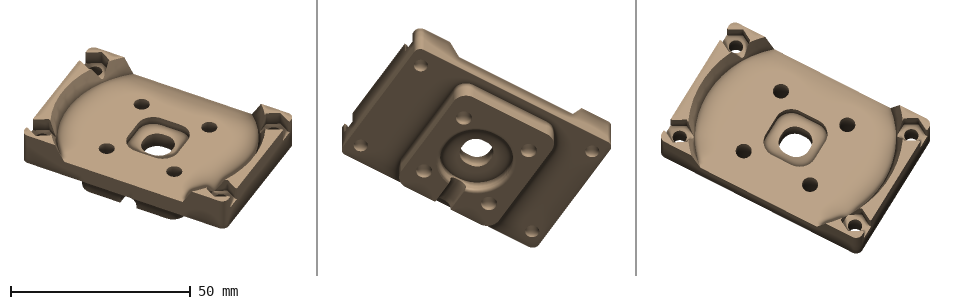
import cadquery as cq

plate_length = 64.0
plate_width = 42.0
plate_corner_radius = 2.0
boss_height = 5.95
plate_thickness = 10.05
top_z = boss_height + plate_thickness

boss_length = 32.0
boss_width = 36.0
boss_corner_radius = 4.0

recess_depth = 5.0
recess_floor_radius = 28.0
recess_rim_radius = 30.0
floor_z = top_z - recess_depth

pocket_size = 15.6
pocket_corner_radius = 4.8
pocket_depth = 2.5
opening_size = 9.0
opening_corner_radius = 4.0

cavity_size = 20.0
cavity_corner_radius = 9.55
cavity_depth = 3.9
cavity_rim_radius = 1.0

screw_hole_diameter = 4.5
screw_hole_pitch = 21.2

bolt_hole_diameter = 4.0
bolt_pitch_x = 56.0
bolt_pitch_y = 32.0
nut_across_corners = 8.0
nut_pocket_depth = 4.0

channel_width = 5.05
channel_height = 3.1
channel_corner_radius = 2.2


def rounded_block(length, width, height, corner_radius, base_z):
    """Block centred on the Z axis with rounded vertical edges."""
    block = cq.Workplane("XY").workplane(offset=base_z).rect(length, width).extrude(height)
    return block.edges("|Z").fillet(corner_radius)


def hole_grid(pitch_x, pitch_y, diameter):
    """Four full-height pins for cutting through holes."""
    corners = cq.Workplane("XY").rect(pitch_x, pitch_y, forConstruction=True).vertices()
    return corners.circle(diameter / 2).extrude(top_z)


def conical_recess():
    """Circular recess that widens towards the top."""
    return (
        cq.Workplane("XY").workplane(offset=floor_z).circle(recess_floor_radius)
        .workplane(offset=recess_depth).circle(recess_rim_radius).loft(ruled=True)
    )


def nut_pocket():
    """Hexagon pointing along Y, with a slot as wide as its side running out towards +X."""
    side = nut_across_corners / 2
    base = cq.Workplane("XY").workplane(offset=top_z - nut_pocket_depth)
    hexagon = base.transformed(rotate=(0, 0, 90)).polygon(6, nut_across_corners).extrude(nut_pocket_depth)
    slot_length = (plate_length - bolt_pitch_x) / 2
    slot = base.center(slot_length / 2, 0).rect(slot_length, side).extrude(nut_pocket_depth)
    return hexagon.union(slot)


def nut_pockets():
    """One nut pocket at each corner bolt hole, opening through the nearest end of the plate."""
    pair = cq.Workplane("XY")
    for y in (-bolt_pitch_y / 2, bolt_pitch_y / 2):
        pair = pair.union(nut_pocket().translate((bolt_pitch_x / 2, y, 0)))
    return pair.union(pair.mirror("YZ"))


def cable_channel():
    """Channel along -Y, open at the bottom face and rounded at its two upper corners."""
    channel = (
        cq.Workplane("XZ").center(0, channel_height / 2)
        .rect(channel_width, channel_height).extrude(boss_width)
    )
    return channel.edges("|Y and >Z").fillet(channel_corner_radius)


plate = rounded_block(plate_length, plate_width, plate_thickness, plate_corner_radius, boss_height)
boss = rounded_block(boss_length, boss_width, boss_height, boss_corner_radius, 0)
body = plate.union(boss)

body = body.cut(rounded_block(cavity_size, cavity_size, cavity_depth, cavity_corner_radius, 0))
cavity_rim = body.faces("<Z").val().innerWires()[0].Edges()
body = body.newObject(cavity_rim).fillet(cavity_rim_radius)

body = body.cut(conical_recess())
pocket_floor_z = floor_z - pocket_depth
body = body.cut(rounded_block(pocket_size, pocket_size, pocket_depth, pocket_corner_radius, pocket_floor_z))
body = body.cut(rounded_block(opening_size, opening_size, top_z, opening_corner_radius, 0))

body = body.cut(hole_grid(screw_hole_pitch, screw_hole_pitch, screw_hole_diameter))
body = body.cut(hole_grid(bolt_pitch_x, bolt_pitch_y, bolt_hole_diameter))
body = body.cut(nut_pockets())
body = body.cut(cable_channel())

result = body